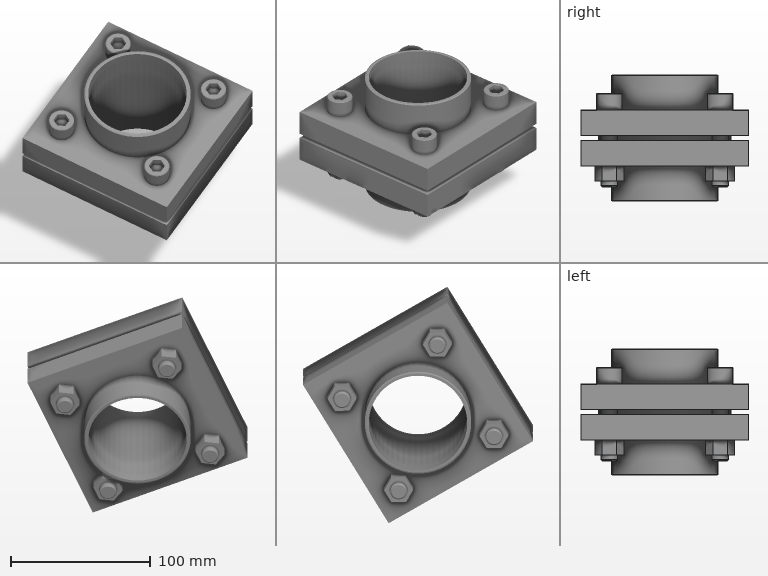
import cadquery as cq
import math

plate_side = 120.0
total_height = 90.0

plate_thickness = 18.2
plate_gap = 3.5
gasket_diameter = 95.0

pipe_outer_diameter = 76.1
pipe_bore_diameter = 70.3
pipe_chamfer_depth = 0.5
pipe_chamfer_width = 1.0

bolt_spacing = 79.2
shank_diameter = 12.0
shank_chamfer = 1.0
head_diameter = 18.0
head_height = 12.0
head_chamfer = 0.5
socket_across_flats = 10.0
socket_depth = 6.0
nut_across_flats = 18.0
nut_height = 10.8
shank_beyond_nut = 4.1

gap_top = plate_gap / 2
stack_top = gap_top + plate_thickness
stack_bottom = -stack_top
head_top = stack_top + head_height
nut_bottom = stack_bottom - nut_height
shank_bottom = nut_bottom - shank_beyond_nut


def cylinder(diameter, bottom, top):
    return cq.Workplane("XY").workplane(offset=bottom).circle(diameter / 2).extrude(top - bottom)


def plate(bottom):
    return (
        cq.Workplane("XY")
        .workplane(offset=bottom)
        .rect(plate_side, plate_side)
        .extrude(plate_thickness)
    )


def hexagon_prism(across_flats, bottom, top):
    """Hexagonal prism with its flats facing +X and -X and corners on Y."""
    corner_diameter = across_flats / math.cos(math.pi / 6)
    return (
        cq.Workplane("XY", origin=(0, 0, bottom))
        .transformed(rotate=(0, 0, 90))
        .polygon(6, corner_diameter)
        .extrude(top - bottom)
    )


def bolt_with_nut():
    shank = cylinder(shank_diameter, shank_bottom, stack_top).faces("<Z").chamfer(shank_chamfer)
    head = cylinder(head_diameter, stack_top, head_top).faces(">Z").chamfer(head_chamfer)
    socket = hexagon_prism(socket_across_flats, head_top - socket_depth, head_top)
    nut = hexagon_prism(nut_across_flats, nut_bottom, stack_bottom)
    return shank.union(head.cut(socket)).union(nut)


pipe = cylinder(pipe_outer_diameter, -total_height / 2, total_height / 2)
pipe = pipe.faces("<Z or >Z").chamfer(pipe_chamfer_depth, pipe_chamfer_width)

gasket = cylinder(gasket_diameter, -gap_top, gap_top)
body = pipe.union(gasket).union(plate(gap_top)).union(plate(stack_bottom))

body = body.cut(cylinder(pipe_bore_diameter, -total_height / 2, total_height / 2))

bolt = bolt_with_nut()
for x_side in (-1, 1):
    for y_side in (-1, 1):
        bolt_place = (x_side * bolt_spacing / 2, y_side * bolt_spacing / 2, 0)
        body = body.union(bolt.translate(bolt_place))

result = body